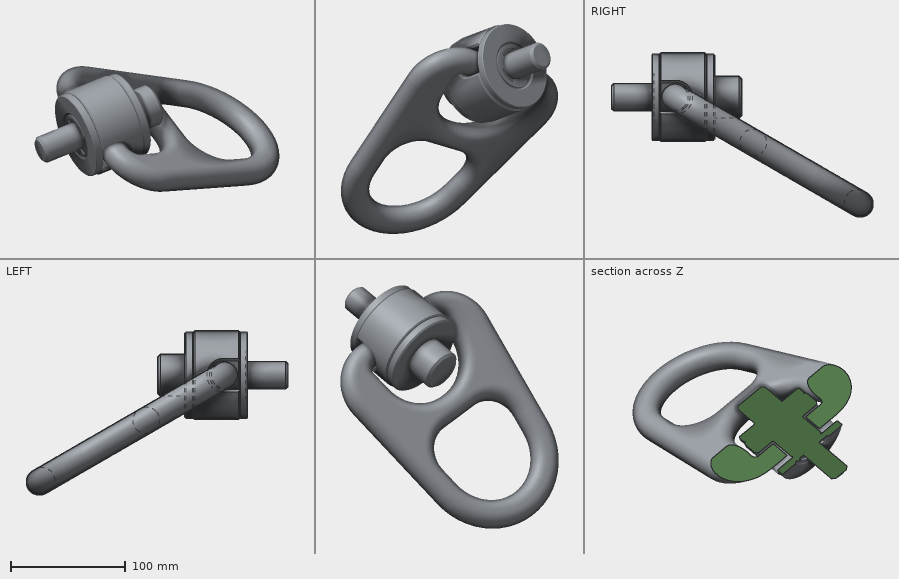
import cadquery as cq
import math


flange_radius = 37.8
body_radius = 39.0
front_flange_end = 6.9
body_end = 47.2
housing_end = 55.0
body_chamfer = 1.1
front_rim_chamfer = 0.7
back_rim_chamfer = 1.4
core_radius = 19.7

stud_radius = 12.1
head_radius = 18.3
head_end = 78.5
bolt_chamfer = 2.3

recess_radius = 21.7
recess_floor_radius = 20.4
recess_depth = 1.5
clip_radius = 19.5
clip_inset = 0.2
clip_mouth_width = 19.7
clip_mouth_flat = 14.2
clip_window_radius = 16.3
clip_window_start = 90
clip_window_end = 156
clip_window_corner = 1.1

pivot_y = 20.1
bail_tilt = 30
rod_radius = 11.5
bail_width = 158.6
shoulder_x = 38.5
crown_radius = 54.5
crown_center_v = 132.3

overall_length = 229.0
bail_back_end = pivot_y + (crown_center_v + crown_radius) * math.cos(math.radians(bail_tilt)) + rod_radius
stud_length = overall_length - bail_back_end

eye_crown_radius = 53.3
eye_crown_center_v = 131.0
eye_corner_x = 18.5
eye_corner_radius = 36.9
eye_bottom_v = 79.2

throat_top_v = 78.7
throat_flat_half = 1.5
throat_radius = 49.7
throat_corner_radius = 15.0

pocket_half_width = 12.5
pocket_chamfer = 2.3
pocket_center_y = 20.5


def tangent_points(center_a, radius_a, center_b, radius_b):
    """Points where the outer common tangent touches two arcs on their +X side, and its normal angle."""
    dx = center_b[0] - center_a[0]
    dv = center_b[1] - center_a[1]
    distance = math.hypot(dx, dv)
    angle = math.atan2(dv, dx) - math.acos((radius_a - radius_b) / distance)
    return (
        point_on_arc(center_a, radius_a, angle),
        point_on_arc(center_b, radius_b, angle),
        angle,
    )


def point_on_arc(center, radius, angle):
    return (center[0] + radius * math.cos(angle), center[1] + radius * math.sin(angle))


def mirrored(point):
    return (-point[0], point[1])


def outer_edge():
    """Outer border of the flat face, from the +X rod end over the crown to the -X one."""
    radius = bail_width / 2 - rod_radius - shoulder_x
    corner = (shoulder_x, radius)
    crown = (0, crown_center_v)
    low, high, tilt = tangent_points(corner, radius, crown, crown_radius)
    corner_mid = point_on_arc(corner, radius, (tilt - math.pi / 2) / 2)
    return (
        cq.Workplane("XY")
        .moveTo(shoulder_x, 0)
        .threePointArc(corner_mid, low)
        .lineTo(*high)
        .threePointArc((0, crown_center_v + crown_radius), mirrored(high))
        .lineTo(*mirrored(low))
        .threePointArc(mirrored(corner_mid), (-shoulder_x, 0))
    )


def throat_edge(path):
    """Border of the lower opening, from the -X rod end over the top to the +X one."""
    corner = (shoulder_x, throat_corner_radius)
    arch = (throat_flat_half, throat_top_v - throat_radius)
    low, high, tilt = tangent_points(corner, throat_corner_radius, arch, throat_radius)
    corner_mid = point_on_arc(corner, throat_corner_radius, (tilt - math.pi / 2) / 2)
    arch_mid = point_on_arc(arch, throat_radius, (tilt + math.pi / 2) / 2)
    return (
        path.threePointArc(mirrored(corner_mid), mirrored(low))
        .lineTo(*mirrored(high))
        .threePointArc(mirrored(arch_mid), (-throat_flat_half, throat_top_v))
        .lineTo(throat_flat_half, throat_top_v)
        .threePointArc(arch_mid, high)
        .lineTo(*low)
        .threePointArc(corner_mid, (shoulder_x, 0))
    )


def eye_edge():
    """Closed border of the large eye, starting at the middle of its straight lower side."""
    corner = (eye_corner_x, eye_bottom_v + eye_corner_radius)
    crown = (0, eye_crown_center_v)
    low, high, tilt = tangent_points(corner, eye_corner_radius, crown, eye_crown_radius)
    corner_mid = point_on_arc(corner, eye_corner_radius, (tilt - math.pi / 2) / 2)
    return (
        cq.Workplane("XY")
        .moveTo(0, eye_bottom_v)
        .lineTo(eye_corner_x, eye_bottom_v)
        .threePointArc(corner_mid, low)
        .lineTo(*high)
        .threePointArc((0, eye_crown_center_v + eye_crown_radius), mirrored(high))
        .lineTo(*mirrored(low))
        .threePointArc(mirrored(corner_mid), (-eye_corner_x, eye_bottom_v))
        .close()
    )


def rounded_edge(path, start, side):
    """Half-round bead along a border that starts in the X or Y direction at `start`."""
    profile = (
        cq.Workplane("YZ", origin=(start[0], start[1], 0))
        .moveTo(0, -rod_radius)
        .threePointArc((side * rod_radius, 0), (0, rod_radius))
        .close()
    )
    return profile.sweep(path)


def make_bail():
    plate = throat_edge(outer_edge()).close().extrude(rod_radius, both=True)
    plate = plate.cut(eye_edge().extrude(rod_radius, both=True))
    throat_path = throat_edge(cq.Workplane("XY").moveTo(-shoulder_x, 0))

    bail = plate.union(rounded_edge(outer_edge(), (shoulder_x, 0), -1))
    bail = bail.union(rounded_edge(throat_path, (-shoulder_x, 0), 1))
    bail = bail.union(rounded_edge(eye_edge(), (0, eye_bottom_v), 1))
    for side in (-1, 1):
        rod_end = (
            cq.Workplane("YZ", origin=(side * core_radius, 0, 0))
            .circle(rod_radius)
            .extrude(side * (shoulder_x - core_radius))
        )
        bail = bail.union(rod_end)
    return bail.rotate((0, 0, 0), (1, 0, 0), -bail_tilt).translate((0, pivot_y, 0))


def cylinder_y(radius, start, end):
    """Cylinder about the bolt axis."""
    return cq.Workplane("XZ", origin=(0, start, 0)).circle(radius).extrude(start - end)


def make_housing():
    front_flange = (
        cylinder_y(flange_radius, 0, front_flange_end)
        .faces("<Y or >Y")
        .chamfer(front_rim_chamfer)
    )
    back_flange = (
        cylinder_y(flange_radius, body_end, housing_end)
        .faces("<Y")
        .chamfer(body_chamfer)
        .faces(">Y")
        .chamfer(back_rim_chamfer)
    )
    stud = cylinder_y(stud_radius, -stud_length, recess_depth).faces("<Y").chamfer(bolt_chamfer)
    head = cylinder_y(head_radius, housing_end, head_end).faces(">Y").chamfer(bolt_chamfer)

    shell = front_flange.union(make_body()).union(back_flange).cut(front_recess())
    return shell.union(stud).union(retaining_clip()).union(head)


def make_body():
    """Thick middle of the housing, with a pocket for the bail on each side."""
    body = cylinder_y(body_radius, front_flange_end, body_end)
    for side in (-1, 1):
        body = body.cut(bail_pocket(side))
    for side in (-1, 1):
        body = body.edges(pocket_mouth(side)).chamfer(pocket_chamfer)
    chamfered = cylinder_y(body_radius, front_flange_end, body_end).faces("<Y or >Y").chamfer(body_chamfer)
    return body.intersect(chamfered)


def bail_pocket(side):
    """Slot with a rounded back end, open to the front flange and as deep as the core."""
    slot = (
        cq.Workplane("YZ")
        .moveTo(front_flange_end, -pocket_half_width)
        .lineTo(pocket_center_y, -pocket_half_width)
        .threePointArc((pocket_center_y + pocket_half_width, 0), (pocket_center_y, pocket_half_width))
        .lineTo(front_flange_end, pocket_half_width)
        .close()
        .extrude(side * body_radius)
    )
    core = cylinder_y(core_radius, front_flange_end, housing_end).faces("<Y").chamfer(body_chamfer)
    return slot.cut(core)


def pocket_mouth(side):
    """Selects the pocket edges that lie on the outer surface of the body."""
    inner = (side * (core_radius + body_radius) / 2, front_flange_end + pocket_chamfer, -body_radius)
    outer = (side * body_radius, body_end - pocket_chamfer, body_radius)
    return cq.selectors.BoxSelector(inner, outer)


def front_recess():
    return (
        cq.Workplane("XY")
        .polyline([(0, 0), (recess_radius, 0), (recess_floor_radius, recess_depth), (0, recess_depth)])
        .close()
        .revolve(360, (0, 0, 0), (0, 1, 0))
    )


def retaining_clip():
    clip = cylinder_y(clip_radius, clip_inset, recess_depth)
    mouth = cq.Workplane("XY").box(
        clip_radius, 2 * recess_depth, clip_mouth_width, centered=(False, True, True)
    )
    tip_trim = (
        cq.Workplane("XY")
        .box(clip_radius, 2 * recess_depth, 2 * clip_radius, centered=(False, True, True))
        .translate((clip_mouth_flat, 0, 0))
    )
    clip = clip.cut(mouth).cut(tip_trim)
    window = clip_window()
    return clip.cut(window).cut(window.mirror("XY"))


def clip_window():
    start, end = (math.radians(a) for a in (clip_window_start, clip_window_end))
    inner_radius = stud_radius / 2
    return (
        cq.Workplane("XZ")
        .moveTo(*point_on_arc((0, 0), inner_radius, start))
        .lineTo(*point_on_arc((0, 0), clip_window_radius, start))
        .threePointArc(
            point_on_arc((0, 0), clip_window_radius, (start + end) / 2),
            point_on_arc((0, 0), clip_window_radius, end),
        )
        .lineTo(*point_on_arc((0, 0), inner_radius, end))
        .close()
        .extrude(-recess_depth)
        .edges("|Y")
        .fillet(clip_window_corner)
    )


bail = make_bail()
housing = make_housing()
result = cq.Compound.makeCompound([bail.solids().val(), housing.solids().val()])